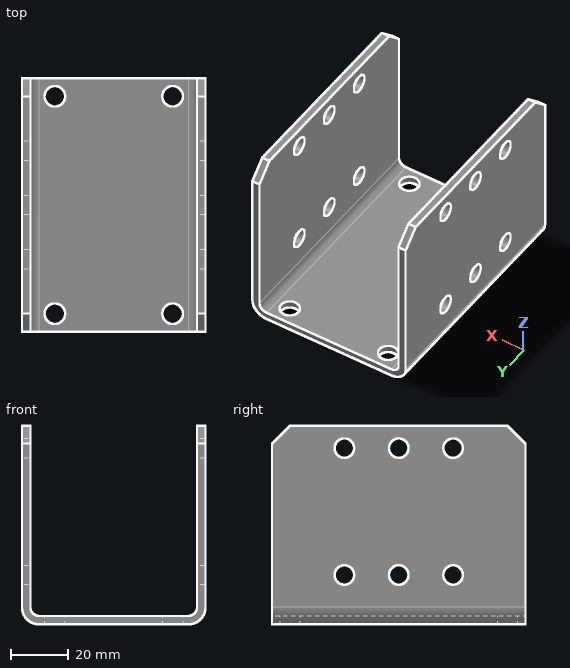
import cadquery as cq

width = 64.41
length = 88.9
height = 69.72

thickness = 3.04
inner_bend_radius = 3.0
outer_bend_radius = inner_bend_radius + thickness
corner_chamfer = 6.35

base_hole_diameter = 7.14
base_hole_spacing_x = 41.28
base_hole_spacing_y = 76.2

wall_hole_diameter = 6.76
wall_hole_pitch = 19.05
wall_holes_per_row = 3
upper_row_drop = 7.92
row_spacing = 44.45
upper_row_z = height - upper_row_drop
lower_row_z = upper_row_z - row_spacing


def upright_block(block_width, bottom_z, bottom_radius):
    """Full-length block up to the top edge, with its two long bottom edges rounded."""
    block_height = height - bottom_z
    return (
        cq.Workplane("XY", origin=(0, 0, bottom_z))
        .box(block_width, length, block_height, centered=(True, True, False))
        .edges("|Y and <Z")
        .fillet(bottom_radius)
    )


def bent_channel():
    """U-shaped sheet with concentric inside and outside bends."""
    outside = upright_block(width, 0, outer_bend_radius)
    inside = upright_block(width - 2 * thickness, thickness, inner_bend_radius)
    return outside.cut(inside)


def base_holes():
    """Cutters for the four holes near the base corners."""
    return (
        cq.Workplane("XY")
        .rect(base_hole_spacing_x, base_hole_spacing_y, forConstruction=True)
        .vertices()
        .circle(base_hole_diameter / 2)
        .extrude(thickness)
    )


def wall_holes():
    """Cutters along X that pass through both side walls."""
    row_middle_z = (upper_row_z + lower_row_z) / 2
    return (
        cq.Workplane("YZ", origin=(0, 0, row_middle_z))
        .rarray(wall_hole_pitch, row_spacing, wall_holes_per_row, 2)
        .circle(wall_hole_diameter / 2)
        .extrude(width / 2, both=True)
    )


channel = bent_channel()
channel = channel.edges("|X and >Z and (<Y or >Y)").chamfer(corner_chamfer)
result = channel.cut(base_holes()).cut(wall_holes())